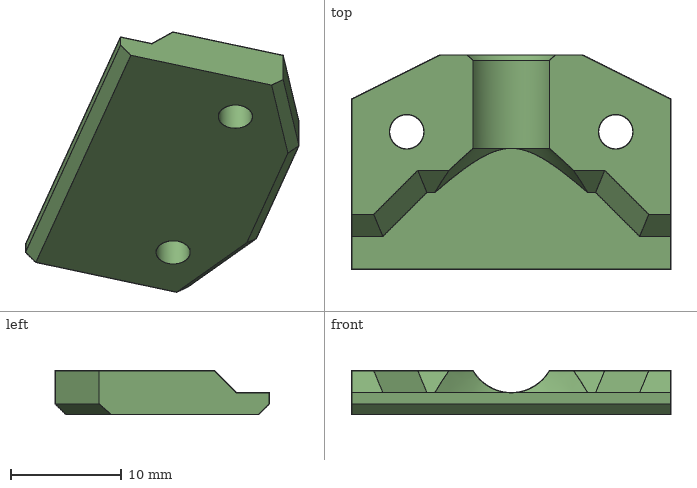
import cadquery as cq
import math

width = 29.0
depth = 19.5
height = 4.0
corner_run = 8.0
corner_setback = corner_run / 2
bottom_chamfer = 1.0

floor_z = height / 2
wall_height = height - floor_z
shoulder_y = 5.0
shoulder_width = 2.0
diagonal_run = 4.0

channel_radius = 4.0
channel_axis_z = floor_z + channel_radius
channel_front_y = 11.0
rear_flare = 0.5

hole_diameter = 3.1
hole_spacing = 19.0
hole_y = 12.5

overcut = 2.9
half_width = width / 2


def make_plate():
    """Plate with clipped rear corners and a chamfered underside, except along its sides."""
    outline = [
        (-half_width, 0),
        (half_width, 0),
        (half_width, depth - corner_setback),
        (half_width - corner_run, depth),
        (corner_run - half_width, depth),
        (-half_width, depth - corner_setback),
    ]
    plate = cq.Workplane("XY").polyline(outline).close().extrude(height)
    return plate.faces("<Z").edges("not |Y").chamfer(bottom_chamfer)


def recess_outline(inset):
    """Recess outline whose walls stand forward of the top edge by the inset."""
    corner_shift = inset * math.tan(math.radians(22.5))
    outer_x = half_width - shoulder_width - corner_shift
    inner_x = outer_x - diagonal_run
    outer_y = shoulder_y - inset
    inner_y = outer_y + diagonal_run
    end_x = half_width + overcut
    right = [(end_x, -overcut), (end_x, outer_y), (outer_x, outer_y), (inner_x, inner_y)]
    left = [(-x, y) for x, y in reversed(right)]
    return right + left


def make_recess():
    return (
        cq.Workplane("XY", origin=(0, 0, floor_z))
        .polyline(recess_outline(wall_height)).close()
        .workplane(offset=wall_height)
        .polyline(recess_outline(0)).close()
        .loft(ruled=True)
    )


def make_channel():
    """Channel cutter, a half profile (radius, Y) turned about an axis along Y."""
    profile = [
        (0, 0),
        (channel_radius + channel_front_y, 0),
        (channel_radius, channel_front_y),
        (channel_radius, depth - rear_flare),
        (channel_radius + rear_flare, depth),
        (0, depth),
    ]
    cutter = (
        cq.Workplane("XY", origin=(0, 0, channel_axis_z))
        .polyline(profile).close()
        .revolve(360, (0, 0, 0), (0, 1, 0))
    )
    below_floor = cq.Workplane("XY").box(
        4 * width, channel_front_y, 2 * width, centered=(True, False, False)
    ).translate((0, 0, floor_z - 2 * width))
    return cutter.cut(below_floor)


def make_holes():
    return (
        cq.Workplane("XY")
        .pushPoints([(side * hole_spacing / 2, hole_y) for side in (-1, 1)])
        .circle(hole_diameter / 2)
        .extrude(height)
    )


result = make_plate().cut(make_recess()).cut(make_channel()).cut(make_holes())